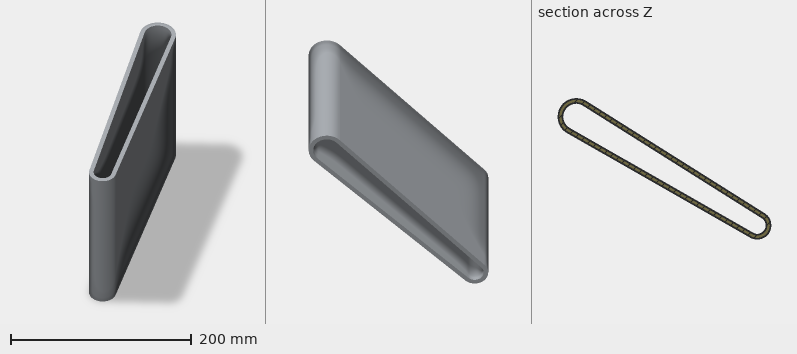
import cadquery as cq
import math

HEIGHT = 180.0
WALL = 5.0
LARGE_RADIUS = 20.0
SMALL_RADIUS = 15.0
LARGE_CENTER = (0.0, 0.0)
SMALL_CENTER = (200.0, -120.0)

span_x = SMALL_CENTER[0] - LARGE_CENTER[0]
span_y = SMALL_CENTER[1] - LARGE_CENTER[1]
span_length = math.hypot(span_x, span_y)
span_angle = math.atan2(span_y, span_x)

normal_offset = math.acos((LARGE_RADIUS - SMALL_RADIUS) / span_length)
upper_angle = span_angle + normal_offset
lower_angle = span_angle - normal_offset


def point_on_circle(center, radius, angle):
    """Point at the given angle on a circle."""
    return (center[0] + radius * math.cos(angle), center[1] + radius * math.sin(angle))


def tapered_loop(inset):
    """Solid bounded by two round ends and their common tangents, moved inward by inset."""
    large = LARGE_RADIUS - inset
    small = SMALL_RADIUS - inset
    large_tip = point_on_circle(LARGE_CENTER, large, span_angle + math.pi)
    small_tip = point_on_circle(SMALL_CENTER, small, span_angle)
    return (
        cq.Workplane("XY")
        .moveTo(*point_on_circle(LARGE_CENTER, large, upper_angle))
        .lineTo(*point_on_circle(SMALL_CENTER, small, upper_angle))
        .threePointArc(small_tip, point_on_circle(SMALL_CENTER, small, lower_angle))
        .lineTo(*point_on_circle(LARGE_CENTER, large, lower_angle))
        .threePointArc(large_tip, point_on_circle(LARGE_CENTER, large, upper_angle))
        .close()
        .extrude(HEIGHT)
    )


result = tapered_loop(0.0).cut(tapered_loop(WALL))